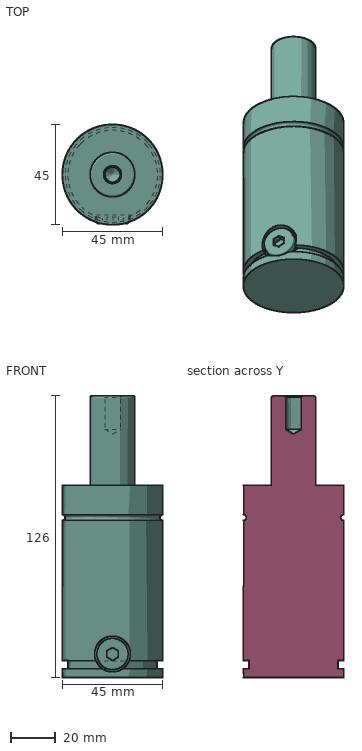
import cadquery as cq
import math

BODY_RADIUS = 22.5
BODY_HEIGHT = 86.0

BASE_FLANGE_HEIGHT = 4.0
BASE_GROOVE_TOP = 7.5
BASE_GROOVE_RADIUS = 20.0

HEAD_HEIGHT = 13.25
ROUND_GROOVE_RADIUS = 1.25

ROD_RADIUS = 10.0
ROD_LENGTH = 40.0
ROD_END_HEIGHT = BODY_HEIGHT + ROD_LENGTH
ROD_END_FILLET = 1.0

ROD_HOLE_RADIUS = 3.4
ROD_HOLE_MOUTH_RADIUS = 4.0
ROD_HOLE_DEPTH = 15.0
DRILL_POINT_ANGLE = 118.0

PORT_HEIGHT = 10.5
POCKET_RADIUS = 8.0
POCKET_FLOOR_DISTANCE = 18.0
PLUG_RADIUS = 7.0
PLUG_FACE_DISTANCE = 21.9
PLUG_FILLET = 0.5
HEX_SIDES = 6
HEX_ACROSS_FLATS = 5.0
HEX_DEPTH = 3.0


def make_body_and_rod():
    """Revolve the stepped half profile of the body and the rod."""
    groove_top = BODY_HEIGHT - HEAD_HEIGHT
    groove_middle = groove_top - ROUND_GROOVE_RADIUS
    groove_bottom = groove_middle - ROUND_GROOVE_RADIUS
    profile = (
        cq.Workplane("XZ")
        .lineTo(BODY_RADIUS, 0)
        .lineTo(BODY_RADIUS, BASE_FLANGE_HEIGHT)
        .lineTo(BASE_GROOVE_RADIUS, BASE_FLANGE_HEIGHT)
        .lineTo(BASE_GROOVE_RADIUS, BASE_GROOVE_TOP)
        .lineTo(BODY_RADIUS, BASE_GROOVE_TOP)
        .lineTo(BODY_RADIUS, groove_bottom)
        .threePointArc((BODY_RADIUS - ROUND_GROOVE_RADIUS, groove_middle), (BODY_RADIUS, groove_top))
        .lineTo(BODY_RADIUS, BODY_HEIGHT)
        .lineTo(ROD_RADIUS, BODY_HEIGHT)
        .lineTo(ROD_RADIUS, ROD_END_HEIGHT)
        .lineTo(0, ROD_END_HEIGHT)
        .close()
    )
    solid = profile.revolve(360, (0, 0, 0), (0, 1, 0))
    return solid.faces(">Z").edges().fillet(ROD_END_FILLET)


def make_rod_hole():
    """Countersunk blind hole with a conical drill point."""
    countersink_depth = ROD_HOLE_MOUTH_RADIUS - ROD_HOLE_RADIUS
    hole_bottom = ROD_END_HEIGHT - ROD_HOLE_DEPTH
    point_length = ROD_HOLE_RADIUS / math.tan(math.radians(DRILL_POINT_ANGLE / 2))
    profile = [
        (0, ROD_END_HEIGHT),
        (ROD_HOLE_MOUTH_RADIUS, ROD_END_HEIGHT),
        (ROD_HOLE_RADIUS, ROD_END_HEIGHT - countersink_depth),
        (ROD_HOLE_RADIUS, hole_bottom),
        (0, hole_bottom - point_length),
    ]
    return cq.Workplane("XZ").polyline(profile).close().revolve(360, (0, 0, 0), (0, 1, 0))


def port_plane(distance):
    """Workplane facing -Y on the port axis, at a distance from the body axis."""
    return cq.Workplane("XZ", origin=(0, -distance, PORT_HEIGHT))


def make_pocket():
    """Round pocket cut inwards from the body surface."""
    depth = BODY_RADIUS - POCKET_FLOOR_DISTANCE
    return port_plane(POCKET_FLOOR_DISTANCE).circle(POCKET_RADIUS).extrude(depth)


def make_plug():
    """Round plug standing on the pocket floor, with a rounded front edge."""
    return (
        port_plane(POCKET_FLOOR_DISTANCE)
        .circle(PLUG_RADIUS)
        .extrude(PLUG_FACE_DISTANCE - POCKET_FLOOR_DISTANCE)
        .faces("<Y")
        .edges()
        .fillet(PLUG_FILLET)
    )


def make_hex_socket():
    """Hexagon socket with corners pointing up and down."""
    across_corners = HEX_ACROSS_FLATS / math.cos(math.pi / HEX_SIDES)
    return (
        port_plane(PLUG_FACE_DISTANCE)
        .transformed(rotate=(0, 0, 90))
        .polygon(HEX_SIDES, across_corners)
        .extrude(-HEX_DEPTH)
    )


body = make_body_and_rod().cut(make_rod_hole())
result = body.cut(make_pocket()).union(make_plug()).cut(make_hex_socket())